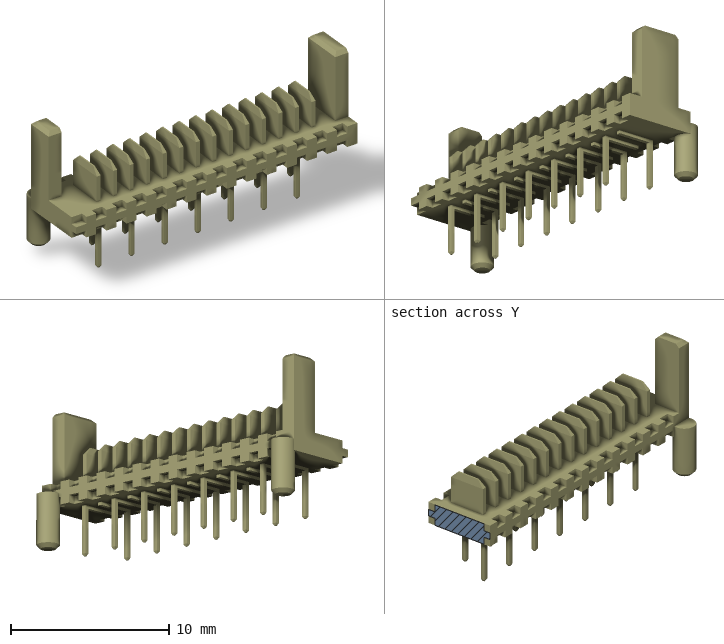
import cadquery as cq

base_width = 5.0
base_height = 1.5
end_margin = 2.54
pin_count = 14
pin_pitch = 1.27
base_length = 2 * end_margin + (pin_count - 1) * pin_pitch

notch_depth = 0.5
notch_height = 0.5
notch_length = 0.8
notch_pitch = 1.54
notch_count = 14

tower_top = 6.4
tower_thickness = 1.0
tower_bevel = 0.25
front_tower_width = 1.95
rear_tower_width = 3.0
rear_tower_left = (base_width - rear_tower_width) / 2

peg_diameter = 1.5
peg_overhang = 0.98
peg_end_overhang = 0.01
peg_top = 0.75
peg_bottom = -2.8
peg_chamfer = 0.25

pin_thickness = 0.3
blade_width = 2.6
blade_bottom = -0.2
blade_top = 3.85
blade_taper_height = 0.5
blade_end_taper = 0.5
blade_tip_thickness = 0.1
leg_spacing = 2.54
leg_width = 0.28
leg_bottom = -3.3
leg_taper_height = 0.15
leg_tip_ratio = 0.4
pin_row_center = 2.53


def box(x, y, z, length_x, length_y, length_z):
    """Box with its lowest corner at (x, y, z)."""
    return cq.Workplane("XY").box(length_x, length_y, length_z, centered=False).translate((x, y, z))


def tapered_tip(x, y, z, root_size, tip_size, height):
    """Rectangular frustum centred on (x, y); a negative height points it down."""
    return (
        cq.Workplane("XY", origin=(x, y, z))
        .rect(*root_size)
        .workplane(offset=height)
        .rect(*tip_size)
        .loft(ruled=True)
    )


def notched_base():
    base = box(0, 0, 0, base_width, base_length, base_height)
    for index in range(notch_count):
        y = index * notch_pitch
        for x in (0, base_width - notch_depth):
            if index == 0 and x == 0:
                continue
            for z in (0, base_height - notch_height):
                base = base.cut(box(x, y, z, notch_depth, notch_length, notch_height))
    return base


def tower(x, y, width):
    """Upright wall with its two sides and its front face bevelled at the top."""
    wall = box(x, y, base_height, width, tower_thickness, tower_top - base_height)
    return wall.faces(">Z").edges("<X or >X or <Y").chamfer(tower_bevel)


def peg(y):
    x = peg_diameter / 2 - peg_overhang
    return (
        cq.Workplane("XY", origin=(x, y, peg_bottom))
        .circle(peg_diameter / 2)
        .extrude(peg_top - peg_bottom)
        .faces("<Z")
        .chamfer(peg_chamfer)
    )


def pin(y, leg_x):
    pin_front = y - pin_thickness / 2

    shoulder = blade_top - blade_taper_height
    blade_left = pin_row_center - blade_width / 2
    blade = box(blade_left, pin_front, blade_bottom, blade_width, pin_thickness, shoulder - blade_bottom)
    blade_tip = tapered_tip(
        pin_row_center, y, shoulder,
        (blade_width, pin_thickness),
        (blade_width - 2 * blade_end_taper, blade_tip_thickness),
        blade_taper_height,
    )

    leg_end = leg_bottom + leg_taper_height
    leg = box(leg_x - leg_width / 2, pin_front, leg_end, leg_width, pin_thickness, base_height / 2 - leg_end)
    leg_tip = tapered_tip(
        leg_x, y, leg_end,
        (leg_width, pin_thickness),
        (leg_width * leg_tip_ratio, pin_thickness * leg_tip_ratio),
        -leg_taper_height,
    )
    return blade.union(blade_tip).union(leg).union(leg_tip)


result = notched_base()
result = result.union(tower(0, 0, front_tower_width))
result = result.union(tower(rear_tower_left, base_length - tower_thickness, rear_tower_width))

peg_inset = peg_diameter / 2 - peg_end_overhang
for peg_y in (peg_inset, base_length - peg_inset):
    result = result.union(peg(peg_y))

for index in range(pin_count):
    row_side = 1 if index % 2 == 0 else -1
    leg_x = pin_row_center + row_side * leg_spacing / 2
    result = result.union(pin(end_margin + index * pin_pitch, leg_x))